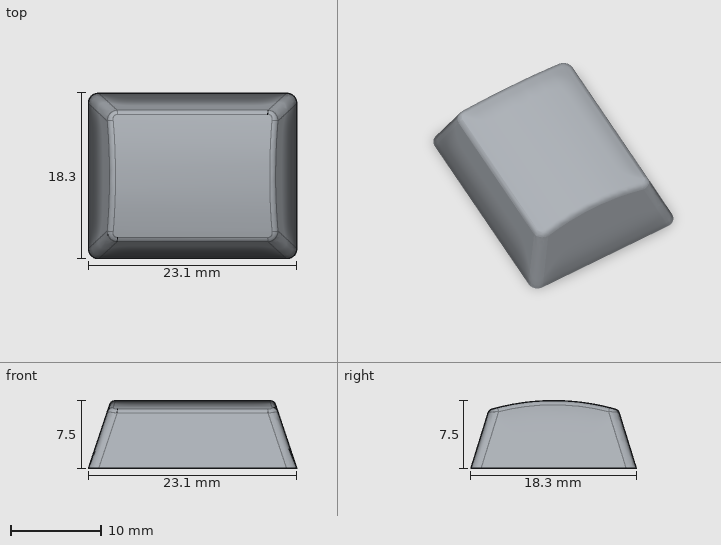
import cadquery as cq
import math

base_length = 23.05
base_width = 18.3
height = 7.5
end_draft = 18.5
side_draft = 17.2
corner_radius = 1.2
crown_radius = 24.9
rim_radius = 0.7
overlap = 2.3


def drafted_block():
    """Frustum taller than the part, with rounded sloping edges."""
    stock_height = height + overlap
    top_length = base_length - 2 * stock_height * math.tan(math.radians(end_draft))
    top_width = base_width - 2 * stock_height * math.tan(math.radians(side_draft))
    frustum = (
        cq.Workplane("XY")
        .rect(base_length, base_width)
        .workplane(offset=stock_height)
        .rect(top_length, top_width)
        .loft(ruled=True)
    )
    return frustum.edges("not(#Z)").fillet(corner_radius)


def crown_cylinder():
    """Cylinder along X whose highest line is the top of the part."""
    cylinder_length = base_length + 2 * overlap
    return (
        cq.Workplane("YZ")
        .center(0, height - crown_radius)
        .circle(crown_radius)
        .extrude(cylinder_length / 2, both=True)
    )


crowned_block = drafted_block().intersect(crown_cylinder())
result = crowned_block.faces(">Z").edges().fillet(rim_radius)